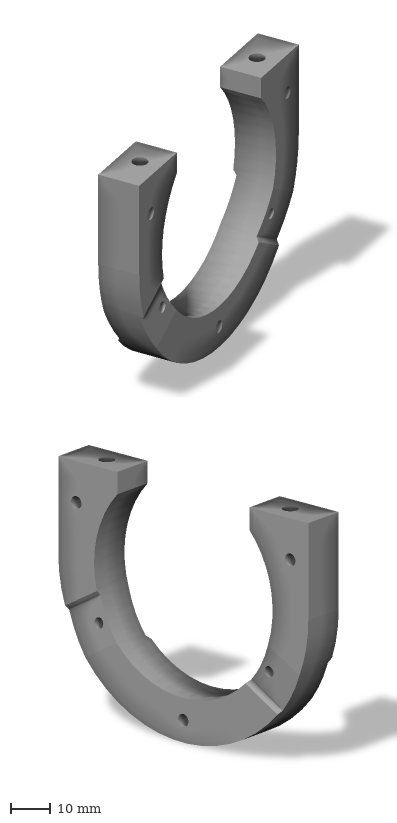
import cadquery as cq
import math

outer_radius = 42.0
inner_radius = 30.0
thickness = 12.0
arm_top = 26.2
arm_gap = 44.35

mount_hole_diameter = 3.45
mount_hole_radius = 35.95
arm_hole_height = 15.0
end_hole_diameter = 4.4
end_hole_offset = 30.8
end_hole_depth = 10.0

seat_angle = 30.0
seat_tilt = 5.0
seat_start = -6.05
seat_deep_end = 6.9
seat_step_top = 8.15
seat_hole_diameter = 3.0
seat_hole_radius = 33.0


def ring_with_arms():
    """U-shaped plate: lower half disc with straight arms, bored out."""
    plate = (
        cq.Workplane("YZ")
        .moveTo(-outer_radius, arm_top)
        .lineTo(-outer_radius, 0)
        .threePointArc((0, -outer_radius), (outer_radius, 0))
        .lineTo(outer_radius, arm_top)
        .close()
        .extrude(thickness / 2, both=True)
    )
    bore = cq.Workplane("YZ").circle(inner_radius).extrude(thickness, both=True)
    opening = cq.Workplane("XY").box(thickness, arm_gap, arm_top, centered=(True, True, False))
    return plate.cut(bore).cut(opening)


def mount_holes():
    """Through holes along X: one in each arm and one at the bottom."""
    places = [
        (-mount_hole_radius, arm_hole_height),
        (mount_hole_radius, arm_hole_height),
        (0, -mount_hole_radius),
    ]
    return (
        cq.Workplane("YZ")
        .pushPoints(places)
        .circle(mount_hole_diameter / 2)
        .extrude(thickness, both=True)
    )


def end_holes():
    """Blind holes down into the two arm ends."""
    return (
        cq.Workplane("XY", origin=(0, 0, arm_top))
        .pushPoints([(0, -end_hole_offset), (0, end_hole_offset)])
        .circle(end_hole_diameter / 2)
        .extrude(-end_hole_depth)
    )


def tilted_seat():
    """Cutter for the +Y side: parallel seats on both faces and the hole square to them."""
    depth = (seat_deep_end - seat_start) * math.tan(math.radians(seat_tilt))
    face = -thickness / 2
    seat = (
        cq.Workplane("XZ")
        .polyline([(face, seat_start), (face + depth, seat_deep_end), (face, seat_step_top)])
        .close()
        .extrude(-outer_radius - thickness)
    )
    opposite_seat = seat.rotate((0, 0, 0), (0, 1, 0), 180)
    hole = (
        cq.Workplane("YZ")
        .center(seat_hole_radius, 0)
        .circle(seat_hole_diameter / 2)
        .extrude(thickness, both=True)
        .rotate((0, 0, 0), (0, 1, 0), seat_tilt)
    )
    cutter = seat.union(opposite_seat).union(hole)
    return cutter.rotate((0, 0, 0), (1, 0, 0), -seat_angle)


result = ring_with_arms().cut(mount_holes()).cut(end_holes())
for turn in (0, 180):
    result = result.cut(tilted_seat().rotate((0, 0, 0), (0, 0, 1), turn))